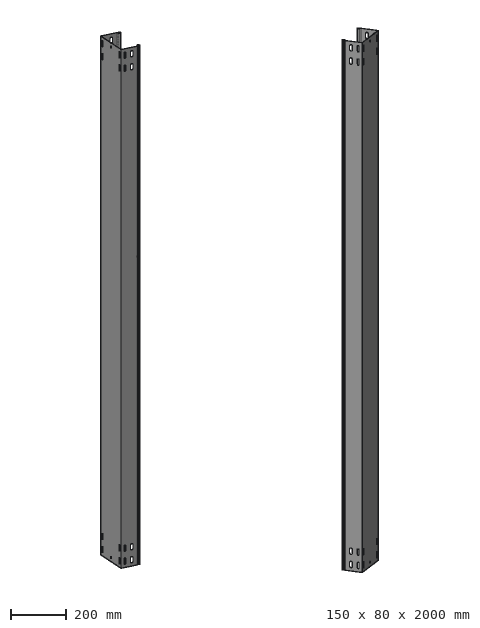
import cadquery as cq
import math

length = 2000.0
width = 150.0
depth = 80.0
sheet = 1.0
half_width = width / 2

neck_radius = 4.5
curl_radius = 5.5
curl_end_angle = 200.0

slot_end_offsets = (25.0, 75.0)
slot_length = 25.0
web_slot_width = 5.0
web_slot_inset = 13.0
wide_slot_width = 10.0
wide_slot_height = 45.0
narrow_slot_width = 5.0
narrow_slot_height = 15.0

web_hole_diameter = 7.0
web_hole_end_offset = 15.0


def bar(x_size, y_size, x_start):
    """Full-length rectangular bar standing on the outer face of the web."""
    return cq.Workplane("XY").box(x_size, y_size, length, centered=False).translate((x_start, 0, 0))


def bend(center, outer_radius, start_angle, end_angle):
    """Full-length strip of sheet bent along an arc, with angles in degrees."""

    def point(radius, angle):
        turn = math.radians(angle)
        return (center[0] + radius * math.cos(turn), center[1] + radius * math.sin(turn))

    inner_radius = outer_radius - sheet
    middle_angle = (start_angle + end_angle) / 2
    return (
        cq.Workplane("XY")
        .moveTo(*point(outer_radius, start_angle))
        .threePointArc(point(outer_radius, middle_angle), point(outer_radius, end_angle))
        .lineTo(*point(inner_radius, end_angle))
        .threePointArc(point(inner_radius, middle_angle), point(inner_radius, start_angle))
        .close()
        .extrude(length)
    )


def side_wall():
    """Wall on the -X side with its rolled rim; the curl reaches out to the face of the wall."""
    center_distance = neck_radius - sheet + curl_radius
    neck_turn = math.degrees(math.acos((neck_radius - curl_radius) / center_distance))
    curl_y = depth - curl_radius
    neck_y = curl_y - center_distance * math.sin(math.radians(neck_turn))

    wall = bar(sheet, neck_y, -half_width)
    neck = bend((neck_radius - half_width, neck_y), neck_radius, 180, 180 - neck_turn)
    curl = bend((curl_radius - half_width, curl_y), curl_radius, -neck_turn, curl_end_angle)
    return wall.union(neck).union(curl)


def from_both_ends(offsets):
    """Heights at the given distances from the bottom and from the top."""
    return [z for offset in offsets for z in (offset, length - offset)]


def wall_slots(slot_width, height):
    """Cutter for slots through both side walls, at a height above the outer face of the web."""
    return (
        cq.Workplane("YZ")
        .pushPoints([(height, z) for z in from_both_ends(slot_end_offsets)])
        .slot2D(slot_length, slot_width, 90)
        .extrude(width, both=True)
    )


def web_slots():
    """Cutter for the slots along both sides of the web."""
    slot_x = half_width - web_slot_inset
    heights = from_both_ends(slot_end_offsets)
    return (
        cq.Workplane("XZ")
        .pushPoints([(x, z) for x in (-slot_x, slot_x) for z in heights])
        .slot2D(slot_length, web_slot_width, 90)
        .extrude(2 * sheet, both=True)
    )


def web_holes():
    """Cutter for the round holes on the centreline of the web."""
    return (
        cq.Workplane("XZ")
        .pushPoints([(0, z) for z in from_both_ends([web_hole_end_offset])])
        .circle(web_hole_diameter / 2)
        .extrude(2 * sheet, both=True)
    )


left_wall = side_wall()
right_wall = left_wall.mirror("YZ")
channel = bar(width, sheet, -half_width).union(left_wall).union(right_wall)

result = (
    channel.cut(web_slots())
    .cut(web_holes())
    .cut(wall_slots(wide_slot_width, wide_slot_height))
    .cut(wall_slots(narrow_slot_width, narrow_slot_height))
)